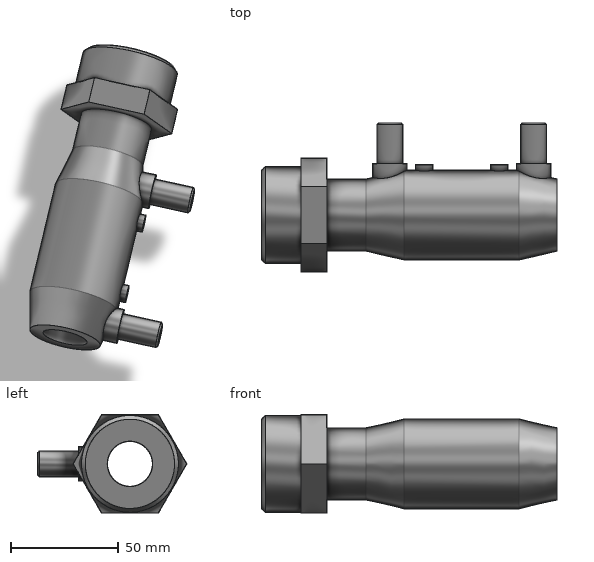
import cadquery as cq
import math

total_length = 138.0
collar_length = 18.4
collar_radius = 22.6
collar_chamfer = 1.8
hex_length = 12.1
hex_across_flats = 46.0
neck_end = 48.9
neck_radius = 16.8
barrel_start = 66.7
barrel_end = 120.3
barrel_radius = 21.0
bore_diameter = 21.0

barrel_middle = (barrel_start + barrel_end) / 2
stud_spacing = 67.0
stud_diameter = 12.1
stud_tip = 43.0
stud_chamfer = 0.8
stud_base_diameter = 16.1
stud_base_top = 24.0
pad_spacing = 35.0
pad_diameter = 8.1
pad_top = 23.6


def turned_body():
    """Chamfered collar, neck and barrel with tapered ends."""
    return (
        cq.Workplane("XY")
        .moveTo(0, 0)
        .lineTo(0, collar_radius - collar_chamfer)
        .lineTo(collar_chamfer, collar_radius)
        .lineTo(collar_length, collar_radius)
        .lineTo(collar_length, neck_radius)
        .lineTo(neck_end, neck_radius)
        .lineTo(barrel_start, barrel_radius)
        .lineTo(barrel_end, barrel_radius)
        .lineTo(total_length, neck_radius)
        .lineTo(total_length, 0)
        .close()
        .revolve(360, (0, 0, 0), (1, 0, 0))
    )


def hex_flange():
    """Hexagon behind the collar, with corners on the Y axis."""
    across_corners = hex_across_flats / math.cos(math.pi / 6)
    return (
        cq.Workplane("YZ")
        .workplane(offset=collar_length)
        .polygon(6, across_corners)
        .extrude(hex_length)
    )


def side_cylinder(x, diameter, top):
    """Cylinder from the body axis out to y = top."""
    return cq.Workplane("XZ", origin=(x, 0, 0)).circle(diameter / 2).extrude(-top)


def stud(x):
    """Chamfered pin standing on a wider round base."""
    pin = side_cylinder(x, stud_diameter, stud_tip).faces(">Y").chamfer(stud_chamfer)
    return pin.union(side_cylinder(x, stud_base_diameter, stud_base_top))


result = turned_body().union(hex_flange())

for side in (-1, 1):
    result = result.union(stud(barrel_middle + side * stud_spacing / 2))
    pad_x = barrel_middle + side * pad_spacing / 2
    result = result.union(side_cylinder(pad_x, pad_diameter, pad_top))

bore = cq.Workplane("YZ").circle(bore_diameter / 2).extrude(total_length)
result = result.cut(bore)